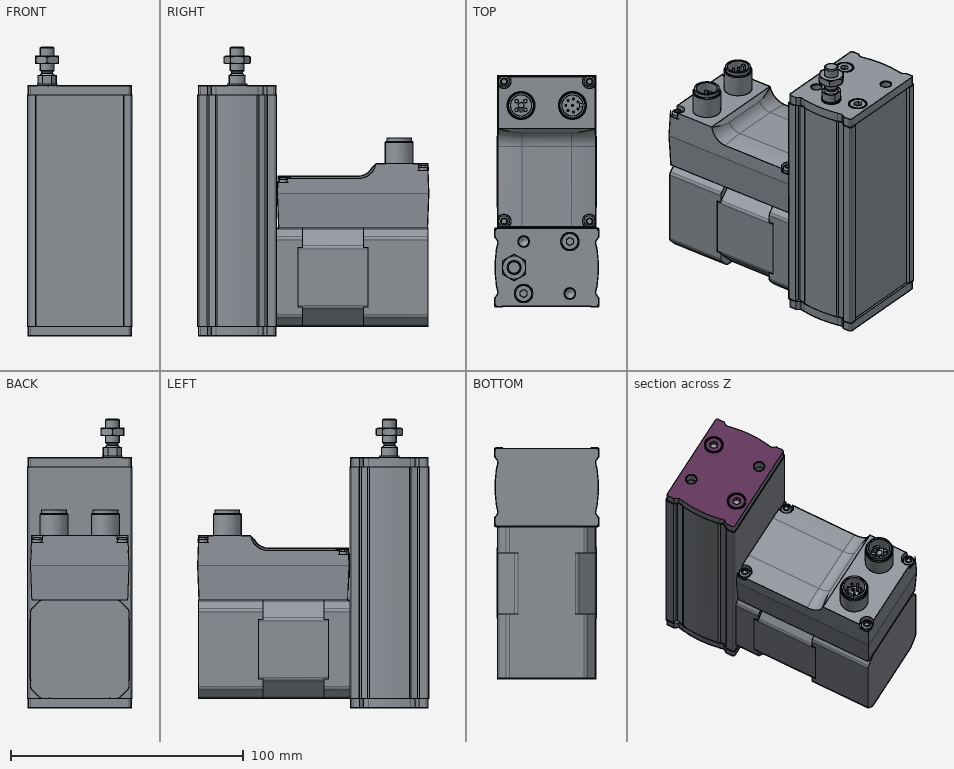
import cadquery as cq
import math


HOUSING_WIDTH = 45.0
HOUSING_DEPTH = 34.0
HOUSING_MID_Y = HOUSING_DEPTH / 2
CAP_THICKNESS = 4.1
HOUSING_TOP = 103.5
CAP_TOP = HOUSING_TOP + CAP_THICKNESS
CAP_INSET = 0.31
HOUSING_CORNER = 0.7
CAP_CORNER = 1.0
BULGE_X = 22.2
PANEL_HALF_WIDTH = 19.1
PANEL_DEPTH = 1.4
PANEL_FLANK = 0.2

CAP_HOLE_X = 9.9
CAP_HOLE_Y = 11.2
THREAD_DIAMETER = 4.3
THREAD_MOUTH = 5.0
THREAD_DEPTH = 9.9
DRILL_POINT = 1.2
SCREW_BORE = 8.0
SCREW_HEAD = 7.0
SCREW_GAP_DEPTH = 0.7
SCREW_SOCKET = 3.0
SCREW_SOCKET_DEPTH = 1.9

ROD_X = -14.0
ROD_TOP = 124.2
ROD_THREAD = 6.0
THREAD_CHAMFER = 0.5
THREAD_BOTTOM = 114.1
NECK_DIAMETER = 4.7
COLLAR_TOP = 112.0
COLLAR_DIAMETER = 8.0
COLLAR_FLATS = 7.0
COLLAR_CONE = 0.7
WIPER_DIAMETER = 8.5
WIPER_HEIGHT = 0.7
NUT_FLATS = 9.9
NUT_BOTTOM = 117.0
NUT_HEIGHT = 3.2
NUT_CHAMFER_ANGLE = 30

MOTOR_SIZE = 42.2
MOTOR_BOTTOM = CAP_THICKNESS
MOTOR_MID_Z = MOTOR_BOTTOM + MOTOR_SIZE / 2
MOTOR_END = 99.1
MOTOR_CHAMFER = 4.2
STACK_WIDTH = 42.7
STACK_CHAMFER = 8.1
MOTOR_ROUND = 2.0
STACK_START = 45.2
STACK_END = 71.4
PAD_START = 43.1
PAD_END = 73.3
PAD_HEIGHT = 25.6

BOX_BOTTOM = MOTOR_BOTTOM + MOTOR_SIZE
BOX_PARTING = 61.2
BOX_TOP = 74.0
BOX_WIDTH = 42.4
BOX_FRONT = 34.3
BOX_BACK = 99.5
BOX_DRAFT = 2.2
SADDLE_EDGE_Z = 67.6
SADDLE_SAG = 1.1
SADDLE_FLAT = 10.7
RAMP_START = 69.0
RAMP_END = 76.8
FACET_START = 74.9
BOX_SCREW_X = 18.4
BOX_SCREW_BACK_Y = 97.0
BOX_SCREW_FRONT_Y = 36.9
BOX_SCREW_BACK_SEAT = 71.0
BOX_SCREW_FRONT_SEAT = 65.8
BOX_SCREW_BORE = 6.1
BOX_SCREW_HEAD = 4.7
BOX_SCREW_HEIGHT = 2.2
BOX_SCREW_BEVEL = 0.9
BOX_SCREW_SOCKET = 2.2
BOX_SCREW_SOCKET_DEPTH = 1.2

PLUG_X = 11.0
PLUG_Y = 86.7
PLUG_DIAMETER = 12.0
PLUG_SHOULDER = 83.6
PLUG_CHAMFER = 0.4
PLUG_TIP_DIAMETER = 10.7
PLUG_TIP = 85.1
PLUG_BORE = 9.1
PLUG_BORE_DEPTH = 7.5
PLUG_KEY_HEIGHT = 6.2
POWER_PIN = 1.5
POWER_PIN_LENGTH = 4.3
POWER_PIN_OFFSET = 1.9
POWER_POST = 2.5
POWER_POST_LENGTH = 3.7
POWER_KEY_WIDTH = 1.0
POWER_KEY_LENGTH = 1.9
SIGNAL_PIN = 0.8
SIGNAL_PIN_LENGTH = 5.2
SIGNAL_RING_RADIUS = 2.9
SIGNAL_RING_COUNT = 7
SIGNAL_RING_PITCH = 49
SIGNAL_KEY_WIDTH = 1.5
SIGNAL_KEY_LENGTH = 1.5


def cylinder(diameter, bottom, top, x=0.0, y=0.0):
    """Upright cylinder between two heights."""
    return cq.Workplane("XY", origin=(x, y, bottom)).circle(diameter / 2).extrude(top - bottom)


def hexagon(flats, bottom, top, x=0.0, y=0.0):
    """Upright hexagonal prism with two corners along Y."""
    corners = flats / math.cos(math.pi / 6)
    plane = cq.Workplane("XY", origin=(x, y, bottom))
    return plane.transformed(rotate=(0, 0, 90)).polygon(6, corners).extrude(top - bottom)


def make_section(groove, depth, corner_round, bottom, top):
    """Prism of the cylinder's section; `groove` leads from the side lip to the bulge in one quarter."""
    lip_x = groove[0][0]
    bulge_x, bulge_y = groove[-1]
    right_back = [(lip_x, depth / 2)] + groove
    right_front = [(x, -y) for x, y in reversed(right_back)]
    left_front = [(-x, -y) for x, y in right_back]
    left_back = [(-x, y) for x, y in reversed(right_back)]
    outline = (
        cq.Workplane("XY", origin=(0, HOUSING_MID_Y, bottom))
        .polyline(right_back)
        .threePointArc((BULGE_X, 0), (bulge_x, -bulge_y))
    )
    for point in right_front[1:] + left_front:
        outline = outline.lineTo(*point)
    outline = outline.threePointArc((-BULGE_X, 0), (-bulge_x, bulge_y))
    for point in left_back[1:]:
        outline = outline.lineTo(*point)
    section = outline.close().extrude(top - bottom)
    return section.edges("|Z").edges(">Y or <Y").fillet(corner_round)


def make_housing():
    lip_x = HOUSING_WIDTH / 2
    groove = [(lip_x, 13.0), (20.5, 12.9), (20.4, 12.0), (21.0, 9.3), (21.6, 8.6)]
    housing = make_section(groove, HOUSING_DEPTH, HOUSING_CORNER, CAP_THICKNESS, HOUSING_TOP)
    panel_floor = PANEL_HALF_WIDTH - PANEL_FLANK
    panel = (
        cq.Workplane("XY", origin=(0, 0, CAP_THICKNESS))
        .polyline([
            (-PANEL_HALF_WIDTH, 0),
            (PANEL_HALF_WIDTH, 0),
            (panel_floor, PANEL_DEPTH),
            (-panel_floor, PANEL_DEPTH),
        ])
        .close()
        .extrude(HOUSING_TOP - CAP_THICKNESS)
    )
    return housing.cut(panel)


def make_cap(bottom):
    lip_x = HOUSING_WIDTH / 2 - CAP_INSET
    groove = [(lip_x, 12.8), (21.2, 11.5), (21.0, 11.0), (21.4, 9.1)]
    depth = HOUSING_DEPTH - 2 * CAP_INSET
    return make_section(groove, depth, CAP_CORNER, bottom, bottom + CAP_THICKNESS)


def make_thread_hole(x, y):
    """Blind threaded hole with a countersunk mouth and a conical end."""
    end = CAP_TOP - THREAD_DEPTH
    mouth_drop = (THREAD_MOUTH - THREAD_DIAMETER) / 2
    hole = (
        cq.Workplane("XZ")
        .polyline([
            (0, end - DRILL_POINT),
            (THREAD_DIAMETER / 2, end),
            (THREAD_DIAMETER / 2, CAP_TOP - mouth_drop),
            (THREAD_MOUTH / 2, CAP_TOP),
            (0, CAP_TOP),
        ])
        .close()
        .revolve(360, (0, 0), (0, 1))
    )
    return hole.translate((x, y, 0))


def make_screw_marks(x, y):
    """Ring gap around a flush screw head, and its hexagon socket."""
    gap_bottom = CAP_TOP - SCREW_GAP_DEPTH
    gap = cylinder(SCREW_BORE, gap_bottom, CAP_TOP, x, y)
    gap = gap.cut(cylinder(SCREW_HEAD, gap_bottom, CAP_TOP, x, y))
    return gap.union(hexagon(SCREW_SOCKET, CAP_TOP - SCREW_SOCKET_DEPTH, CAP_TOP, x, y))


def make_rod():
    """Piston rod standing on the top cap, with a spanner collar and a threaded tip."""
    thread_r = ROD_THREAD / 2
    neck_r = NECK_DIAMETER / 2
    thread_root = THREAD_BOTTOM - (thread_r - neck_r)
    cone_top = COLLAR_TOP + COLLAR_CONE
    rod = (
        cq.Workplane("XZ")
        .polyline([
            (0, CAP_TOP),
            (COLLAR_DIAMETER / 2, CAP_TOP),
            (COLLAR_DIAMETER / 2, COLLAR_TOP),
            (neck_r + COLLAR_CONE, COLLAR_TOP),
            (neck_r, cone_top),
            (neck_r, thread_root),
            (thread_r, THREAD_BOTTOM),
            (thread_r, ROD_TOP - THREAD_CHAMFER),
            (thread_r - THREAD_CHAMFER, ROD_TOP),
            (0, ROD_TOP),
        ])
        .close()
        .revolve(360, (0, 0), (0, 1))
    )
    flats_bottom = CAP_TOP + WIPER_HEIGHT
    flats_height = cone_top - flats_bottom
    for side in (-1, 1):
        flat = cq.Workplane("XY").box(COLLAR_DIAMETER, COLLAR_DIAMETER, flats_height)
        flat_y = side * (COLLAR_FLATS + COLLAR_DIAMETER) / 2
        rod = rod.cut(flat.translate((0, flat_y, flats_bottom + flats_height / 2)))
    return rod.translate((ROD_X, HOUSING_MID_Y, 0))


def make_wiper():
    wiper_top = CAP_TOP + WIPER_HEIGHT
    wiper = cylinder(WIPER_DIAMETER, CAP_TOP, wiper_top, ROD_X, HOUSING_MID_Y)
    return wiper.cut(cylinder(COLLAR_DIAMETER, CAP_TOP, wiper_top, ROD_X, HOUSING_MID_Y))


def make_nut():
    """Hexagon nut with conical corner chamfers at both ends."""
    corner_r = NUT_FLATS / 2 / math.cos(math.pi / 6)
    face_r = NUT_FLATS / 2
    drop = (corner_r - face_r) * math.tan(math.radians(NUT_CHAMFER_ANGLE))
    envelope = (
        cq.Workplane("XZ")
        .polyline([
            (0, 0),
            (face_r, 0),
            (corner_r, drop),
            (corner_r, NUT_HEIGHT - drop),
            (face_r, NUT_HEIGHT),
            (0, NUT_HEIGHT),
        ])
        .close()
        .revolve(360, (0, 0), (0, 1))
    )
    nut = hexagon(NUT_FLATS, 0, NUT_HEIGHT).intersect(envelope)
    nut = nut.cut(cylinder(ROD_THREAD, 0, NUT_HEIGHT))
    return nut.translate((ROD_X, HOUSING_MID_Y, NUT_BOTTOM))


def motor_block(start_y, end_y, width, chamfer):
    """Length of motor section with chamfered and rounded corners."""
    middle_y = (start_y + end_y) / 2
    block = cq.Workplane("XY").box(width, end_y - start_y, MOTOR_SIZE)
    block = block.edges("|Y").chamfer(chamfer).edges("|Y").fillet(MOTOR_ROUND)
    return block.translate((0, middle_y, MOTOR_MID_Z))


def make_motor():
    """Two end bells and a stack between them, whose side faces reach over the bells as pads."""
    motor = motor_block(HOUSING_DEPTH, STACK_START, MOTOR_SIZE, MOTOR_CHAMFER)
    motor = motor.union(motor_block(STACK_START, STACK_END, STACK_WIDTH, STACK_CHAMFER))
    motor = motor.union(motor_block(STACK_END, MOTOR_END, MOTOR_SIZE, MOTOR_CHAMFER))
    pad_length = PAD_END - PAD_START
    pad_band = cq.Workplane("XY").box(STACK_WIDTH, pad_length, PAD_HEIGHT)
    pad_band = pad_band.translate((0, PAD_START + pad_length / 2, MOTOR_MID_Z))
    pads = motor_block(PAD_START, PAD_END, STACK_WIDTH, STACK_CHAMFER).intersect(pad_band)
    return motor.union(pads)


def make_saddle():
    """Space above the low front part of the box: a crowned floor that curves up to the rear block."""
    run = RAMP_END - RAMP_START
    rise = BOX_TOP - SADDLE_EDGE_Z
    edge_radius = (run ** 2 + rise ** 2) / (2 * rise)
    axis_z = SADDLE_EDGE_Z + edge_radius
    crown_z = SADDLE_EDGE_Z + SADDLE_SAG
    half_width = BOX_WIDTH / 2
    slope_width = half_width - SADDLE_FLAT
    crown_radius = (slope_width ** 2 + SADDLE_SAG ** 2) / (2 * SADDLE_SAG)
    mid_x = SADDLE_FLAT + slope_width / 2
    mid_drop = crown_radius - math.sqrt(crown_radius ** 2 - (slope_width / 2) ** 2)
    section = (
        cq.Workplane("XZ", origin=(0, RAMP_START, 0))
        .moveTo(-half_width, axis_z)
        .lineTo(-half_width, SADDLE_EDGE_Z)
        .threePointArc((-mid_x, crown_z - mid_drop), (-SADDLE_FLAT, crown_z))
        .lineTo(SADDLE_FLAT, crown_z)
        .threePointArc((mid_x, crown_z - mid_drop), (half_width, SADDLE_EDGE_Z))
        .lineTo(half_width, axis_z)
        .close()
    )
    floor = section.extrude(RAMP_START)
    ramp = section.toPending().revolve(360, (-half_width, axis_z), (half_width, axis_z))
    facet_drop = axis_z - math.sqrt((edge_radius - SADDLE_SAG) ** 2 - (FACET_START - RAMP_START) ** 2)
    facet = (
        cq.Workplane("YZ", origin=(-half_width, 0, 0))
        .polyline([(RAMP_END, BOX_TOP), (FACET_START, facet_drop), (FACET_START, BOX_TOP)])
        .close()
        .extrude(BOX_WIDTH)
    )
    return floor.union(ramp).union(facet)


def make_connector(x):
    """Round connector shell, open at the top."""
    shell = cylinder(PLUG_DIAMETER, BOX_TOP, PLUG_SHOULDER, x, PLUG_Y)
    shell = shell.faces(">Z").chamfer(PLUG_CHAMFER)
    shell = shell.union(cylinder(PLUG_TIP_DIAMETER, PLUG_SHOULDER, PLUG_TIP, x, PLUG_Y))
    return shell.cut(cylinder(PLUG_BORE, PLUG_TIP - PLUG_BORE_DEPTH, PLUG_TIP, x, PLUG_Y))


def connector_key(x, y, x_length, y_length):
    """Upright key standing on the connector floor."""
    floor = PLUG_TIP - PLUG_BORE_DEPTH
    return cq.Workplane("XY", origin=(x, y, floor)).rect(x_length, y_length).extrude(PLUG_KEY_HEIGHT)


def make_power_connector():
    floor = PLUG_TIP - PLUG_BORE_DEPTH
    connector = make_connector(-PLUG_X)
    for side_x in (-1, 1):
        for side_y in (-1, 1):
            x = -PLUG_X + side_x * POWER_PIN_OFFSET
            y = PLUG_Y + side_y * POWER_PIN_OFFSET
            connector = connector.union(cylinder(POWER_PIN, floor, floor + POWER_PIN_LENGTH, x, y))
    post = cylinder(POWER_POST, floor, floor + POWER_POST_LENGTH, -PLUG_X, PLUG_Y)
    connector = connector.union(post)
    key_y = PLUG_Y - POWER_PIN_OFFSET
    return connector.union(connector_key(-PLUG_X, key_y, POWER_KEY_WIDTH, POWER_KEY_LENGTH))


def make_signal_connector():
    floor = PLUG_TIP - PLUG_BORE_DEPTH
    pin_top = floor + SIGNAL_PIN_LENGTH
    connector = make_connector(PLUG_X)
    connector = connector.union(cylinder(SIGNAL_PIN, floor, pin_top, PLUG_X, PLUG_Y))
    middle_pin = (SIGNAL_RING_COUNT - 1) / 2
    for number in range(SIGNAL_RING_COUNT):
        angle = math.pi + math.radians(SIGNAL_RING_PITCH * (number - middle_pin))
        x = PLUG_X + SIGNAL_RING_RADIUS * math.cos(angle)
        y = PLUG_Y + SIGNAL_RING_RADIUS * math.sin(angle)
        connector = connector.union(cylinder(SIGNAL_PIN, floor, pin_top, x, y))
    key_x = PLUG_X + (PLUG_BORE - SIGNAL_KEY_LENGTH) / 2
    return connector.union(connector_key(key_x, PLUG_Y, SIGNAL_KEY_LENGTH, SIGNAL_KEY_WIDTH))


def make_box_screw(x, y, seat):
    """Bevelled round screw head with a hexagon socket."""
    head_top = seat + BOX_SCREW_HEIGHT
    head = cylinder(BOX_SCREW_HEAD, seat, head_top, x, y).faces(">Z").chamfer(BOX_SCREW_BEVEL)
    return head.cut(hexagon(BOX_SCREW_SOCKET, head_top - BOX_SCREW_SOCKET_DEPTH, head_top, x, y))


def make_electronics_box():
    """Box drafted both ways from its parting line, with saddle, sunk screws and connectors."""
    depth = BOX_BACK - BOX_FRONT
    parting = cq.Workplane("XY", origin=(0, BOX_FRONT + depth / 2, BOX_PARTING))
    box = parting.rect(BOX_WIDTH, depth).extrude(BOX_TOP - BOX_PARTING, taper=BOX_DRAFT)
    base = parting.rect(BOX_WIDTH, depth).extrude(BOX_BOTTOM - BOX_PARTING, taper=BOX_DRAFT)
    box = box.union(base).cut(make_saddle())
    screw_rows = ((BOX_SCREW_FRONT_Y, BOX_SCREW_FRONT_SEAT), (BOX_SCREW_BACK_Y, BOX_SCREW_BACK_SEAT))
    for x in (-BOX_SCREW_X, BOX_SCREW_X):
        for y, seat in screw_rows:
            box = box.cut(cylinder(BOX_SCREW_BORE, seat, BOX_TOP, x, y))
            box = box.union(make_box_screw(x, y, seat))
    return box.union(make_power_connector()).union(make_signal_connector())


housing = make_housing()
bottom_cap = make_cap(0)
top_cap = make_cap(HOUSING_TOP)
for side in (-1, 1):
    thread_hole = make_thread_hole(side * CAP_HOLE_X, HOUSING_MID_Y - side * CAP_HOLE_Y)
    top_cap = top_cap.cut(thread_hole)
    housing = housing.cut(thread_hole)
    top_cap = top_cap.cut(make_screw_marks(side * CAP_HOLE_X, HOUSING_MID_Y + side * CAP_HOLE_Y))
rod = make_rod()
wiper = make_wiper()
nut = make_nut()
motor = make_motor()
electronics_box = make_electronics_box()

result = cq.Compound.makeCompound([
    housing.val(),
    bottom_cap.val(),
    top_cap.val(),
    rod.val(),
    wiper.val(),
    nut.val(),
    motor.val(),
    electronics_box.val(),
])